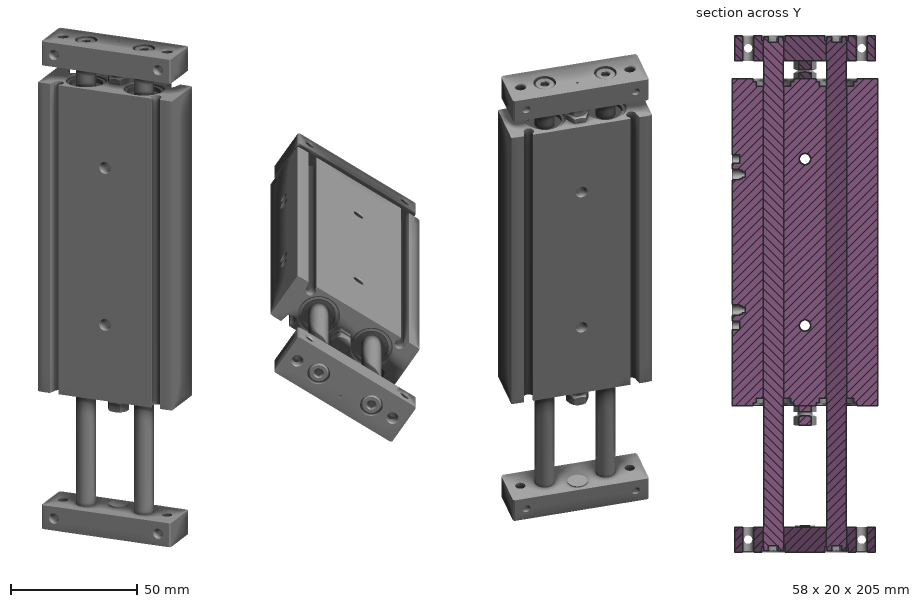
import cadquery as cq
import math


TOTAL_LENGTH = 205.0
PLATE_THICKNESS = 10.0
TOP_GAP = 7.0
BOTTOM_GAP = 48.0
HOUSING_BOTTOM = PLATE_THICKNESS + BOTTOM_GAP
HOUSING_TOP = TOTAL_LENGTH - PLATE_THICKNESS - TOP_GAP
HOUSING_LENGTH = HOUSING_TOP - HOUSING_BOTTOM
HOUSING_MIDDLE = (HOUSING_BOTTOM + HOUSING_TOP) / 2

HOUSING_WIDTH = 58.0
HOUSING_DEPTH = 20.0
EDGE_STRIP_WIDTH = 2.5
EDGE_STRIP_DROP = 0.27
SLOT_INNER_X = 20.0
SLOT_OUTER_X = 23.8
SLOT_BORE_X = 21.1
SLOT_BORE_RADIUS = 2.0
SLOT_BORE_DEPTH = 2.7

MOUNT_HOLE_OFFSET = 33.0
MOUNT_HOLE_DIAMETER = 4.3
MOUNT_RIM_DIAMETER = 5.0
PORT_OFFSET = 26.9
PORT_RIM_DIAMETER = 5.0
PORT_DIAMETER = 4.0
PORT_DEPTH = 3.0
PORT_SEAT_DIAMETER = 3.3
PORT_SEAT_DEPTH = 4.0
PORT_PASSAGE_DIAMETER = 2.0
PORT_PASSAGE_DEPTH = 5.1
SIDE_HOLE_OFFSET = MOUNT_HOLE_OFFSET
SIDE_HOLE_RIM_DIAMETER = 4.0
SIDE_HOLE_DIAMETER = 3.3
SIDE_HOLE_DEPTH = 3.0

ROD_DIAMETER = 8.0
ROD_X = 12.5
SEAT_RIM_DIAMETER = 17.0
SEAT_DIAMETER = 16.0
SEAT_DEPTH = 1.2
SEAL_DIAMETER = 13.5
SEAL_DEPTH = 1.8
ROD_END_DIAMETER = 7.0
ROD_SOCKET_FLATS = 3.3
ROD_SOCKET_RIM_DIAMETER = 4.0
ROD_SOCKET_DEPTH = 2.0
ROD_END_RECESS = 0.5

PLATE_WIDTH = 56.0
PLATE_DEPTH = 18.0
PLATE_CHAMFER = 0.6
PLATE_HOLE_X = 22.5
PLATE_END_HOLE_DIAMETER = 4.0
PLATE_END_RIM_DIAMETER = 5.0
PLATE_CROSS_HOLE_DIAMETER = 3.3
PLATE_CROSS_RIM_DIAMETER = 4.3
ROD_COUNTERBORE_DIAMETER = 9.0
ROD_COUNTERBORE_DEPTH = 2.0
VENT_DIAMETER = 1.0
VENT_DEPTH = 4.0

STOPPER_Y = 3.5
STOPPER_FLATS = 8.0
STOPPER_NECK_DIAMETER = 6.0
STOPPER_FACE_DIAMETER = 7.0
STOPPER_FACE_CHAMFER = 0.6
STOPPER_TIP_DIAMETER = STOPPER_FLATS
STOPPER_TIP_CHAMFER = 0.5
TOP_NUT_HEIGHT = 2.7
TOP_NECK_LENGTH = 0.6
TOP_HEAD_HEIGHT = TOP_GAP - TOP_NUT_HEIGHT - TOP_NECK_LENGTH
BOTTOM_NUT_HEIGHT = 2.5
BOTTOM_NECK_LENGTH = 1.2
BOTTOM_HEAD_HEIGHT = 4.0
BUMPER_DIAMETER = 8.0
BUMPER_HEIGHT = 0.6


def cylinder_z(diameter, x, y, bottom, height):
    """Upright cylinder standing on the level `bottom`."""
    return cq.Workplane("XY", origin=(x, y, bottom)).circle(diameter / 2).extrude(height)


def drill(diameter, rim_diameter, start, direction, depth):
    """Hole tool from the point `start`, with a 45 degree countersink at its mouth."""
    face = cq.Workplane(cq.Plane(start, normal=direction))
    shaft = face.circle(diameter / 2).extrude(depth)
    countersink = (
        face.circle(rim_diameter / 2)
        .workplane(offset=(rim_diameter - diameter) / 2)
        .circle(diameter / 2)
        .loft()
    )
    return shaft.union(countersink)


def mirror_end(body):
    """Copy of a body turned over about the middle plane of the housing."""
    return body.mirror("XY", (0, 0, HOUSING_MIDDLE))



def housing_block():
    """Solid block with shallow arcs along its four long edges."""
    half_width = HOUSING_WIDTH / 2
    half_depth = HOUSING_DEPTH / 2
    strip_x = half_width - EDGE_STRIP_WIDTH
    middle_x = half_width - EDGE_STRIP_WIDTH / 2
    side_y = half_depth - EDGE_STRIP_DROP
    middle_y = half_depth - EDGE_STRIP_DROP / 4
    return (
        cq.Workplane("XY", origin=(0, 0, HOUSING_BOTTOM))
        .moveTo(-strip_x, -half_depth)
        .lineTo(strip_x, -half_depth)
        .threePointArc((middle_x, -middle_y), (half_width, -side_y))
        .lineTo(half_width, side_y)
        .threePointArc((middle_x, middle_y), (strip_x, half_depth))
        .lineTo(-strip_x, half_depth)
        .threePointArc((-middle_x, middle_y), (-half_width, side_y))
        .lineTo(-half_width, -side_y)
        .threePointArc((-middle_x, -middle_y), (-strip_x, -half_depth))
        .close()
        .extrude(HOUSING_LENGTH)
    )


def sensor_slot(side_x, side_y):
    """Round-bottomed slot, its outer mouth wall leaning outwards, in the corner given by the two signs."""
    surface_y = side_y * HOUSING_DEPTH / 2
    bore_y = side_y * (HOUSING_DEPTH / 2 - SLOT_BORE_DEPTH)
    mouth = (
        cq.Workplane("XY", origin=(0, 0, HOUSING_BOTTOM))
        .polyline([
            (side_x * SLOT_INNER_X, surface_y),
            (side_x * SLOT_OUTER_X, surface_y),
            (side_x * (SLOT_BORE_X + SLOT_BORE_RADIUS), bore_y),
            (side_x * SLOT_INNER_X, bore_y),
        ])
        .close()
        .extrude(HOUSING_LENGTH)
    )
    bore = cylinder_z(2 * SLOT_BORE_RADIUS, side_x * SLOT_BORE_X, bore_y, HOUSING_BOTTOM, HOUSING_LENGTH)
    return mouth.union(bore)


def rod_seat(x):
    """Recess with a countersunk rim and a smaller seal step around a rod, sunk into the top end face."""
    recess = drill(SEAT_DIAMETER, SEAT_RIM_DIAMETER, (x, 0, HOUSING_TOP), (0, 0, -1), SEAT_DEPTH)
    seal_bottom = HOUSING_TOP - SEAT_DEPTH - SEAL_DEPTH
    return recess.union(cylinder_z(SEAL_DIAMETER, x, 0, seal_bottom, SEAL_DEPTH))


def mount_hole(z):
    """Hole through the housing along Y, countersunk on both faces."""
    half_depth = HOUSING_DEPTH / 2
    front = drill(MOUNT_HOLE_DIAMETER, MOUNT_RIM_DIAMETER, (0, -half_depth, z), (0, 1, 0), half_depth)
    back = drill(MOUNT_HOLE_DIAMETER, MOUNT_RIM_DIAMETER, (0, half_depth, z), (0, -1, 0), half_depth)
    return front.union(back)


def side_holes(direction):
    """Stepped port and plain hole in the -X side, above (+1) or below (-1) the middle."""
    side = -HOUSING_WIDTH / 2
    inward = (1, 0, 0)
    port_start = (side, 0, HOUSING_MIDDLE + direction * PORT_OFFSET)
    hole_start = (side, 0, HOUSING_MIDDLE + direction * SIDE_HOLE_OFFSET)
    port = drill(PORT_DIAMETER, PORT_RIM_DIAMETER, port_start, inward, PORT_DEPTH)
    port_face = cq.Workplane(cq.Plane(port_start, normal=inward))
    seat = port_face.circle(PORT_SEAT_DIAMETER / 2).extrude(PORT_SEAT_DEPTH)
    passage = port_face.circle(PORT_PASSAGE_DIAMETER / 2).extrude(PORT_PASSAGE_DEPTH)
    hole = drill(SIDE_HOLE_DIAMETER, SIDE_HOLE_RIM_DIAMETER, hole_start, inward, SIDE_HOLE_DEPTH)
    return port.union(seat).union(passage).union(hole)


def make_housing():
    housing = housing_block()
    for side_x in (-1, 1):
        for side_y in (-1, 1):
            housing = housing.cut(sensor_slot(side_x, side_y))
        seat = rod_seat(side_x * ROD_X)
        housing = housing.cut(seat).cut(mirror_end(seat))
        housing = housing.cut(cylinder_z(ROD_DIAMETER, side_x * ROD_X, 0, HOUSING_BOTTOM, HOUSING_LENGTH))
    for direction in (-1, 1):
        hole_z = HOUSING_MIDDLE + direction * MOUNT_HOLE_OFFSET
        housing = housing.cut(mount_hole(hole_z))
        housing = housing.cut(side_holes(direction))
    return housing



def make_plate(inner_z, outward):
    """End plate whose inner face is at inner_z; outward is +1 for the top plate, -1 for the bottom."""
    outer_z = inner_z + outward * PLATE_THICKNESS
    plate = (
        cq.Workplane("XY", origin=(0, 0, inner_z))
        .rect(PLATE_WIDTH, PLATE_DEPTH)
        .extrude(outward * PLATE_THICKNESS)
        .edges("|Z")
        .chamfer(PLATE_CHAMFER)
    )
    inward = (0, 0, -outward)
    middle_z = (inner_z + outer_z) / 2
    front_y = -PLATE_DEPTH / 2
    for side_x in (-1, 1):
        rod_x = side_x * ROD_X
        hole_x = side_x * PLATE_HOLE_X
        end_start = (hole_x, 0, outer_z)
        cross_start = (hole_x, front_y, middle_z)
        end_hole = drill(PLATE_END_HOLE_DIAMETER, PLATE_END_RIM_DIAMETER, end_start, inward, PLATE_THICKNESS)
        cross_hole = drill(
            PLATE_CROSS_HOLE_DIAMETER, PLATE_CROSS_RIM_DIAMETER, cross_start, (0, 1, 0), PLATE_DEPTH
        )
        plate = (
            plate.cut(cylinder_z(ROD_DIAMETER, rod_x, 0, inner_z, outward * PLATE_THICKNESS))
            .cut(cylinder_z(ROD_COUNTERBORE_DIAMETER, rod_x, 0, outer_z, -outward * ROD_COUNTERBORE_DEPTH))
            .cut(end_hole)
            .cut(cross_hole)
        )
    return plate.cut(cylinder_z(VENT_DIAMETER, 0, STOPPER_Y, outer_z, -outward * VENT_DEPTH))



def make_rod(x):
    """Rod reaching into both plates, with chamfered ends and a hexagon socket in each end."""
    bottom = ROD_END_RECESS
    top = TOTAL_LENGTH - ROD_END_RECESS
    socket_corners = ROD_SOCKET_FLATS / math.cos(math.pi / 6)
    end_chamfer = (ROD_DIAMETER - ROD_END_DIAMETER) / 2
    rod = cylinder_z(ROD_DIAMETER, x, 0, bottom, top - bottom).faces("<Z or >Z").chamfer(end_chamfer)
    for end, inward in ((bottom, 1), (top, -1)):
        end_point = (x, 0, end)
        direction = (0, 0, inward)
        lead_depth = (ROD_SOCKET_RIM_DIAMETER - ROD_SOCKET_FLATS) / 2
        lead_in = drill(ROD_SOCKET_FLATS, ROD_SOCKET_RIM_DIAMETER, end_point, direction, lead_depth)
        socket = (
            cq.Workplane(cq.Plane(end_point, normal=direction))
            .polygon(6, socket_corners)
            .extrude(ROD_SOCKET_DEPTH)
        )
        rod = rod.cut(lead_in).cut(socket)
    return rod



def hexagon(bottom, height):
    """Sharp-edged hexagon with two corners in line with the X axis."""
    corners = STOPPER_FLATS / math.cos(math.pi / 6)
    return cq.Workplane("XY", origin=(0, STOPPER_Y, bottom)).polygon(6, corners).extrude(height)


def turn_corners(hexagon_body, end_z, inward, face_diameter, chamfer_height):
    """Turn the corners of a hexagon down to a round face at end_z; inward is the sign of the way in."""
    corner_radius = STOPPER_FLATS / math.cos(math.pi / 6) / 2
    face_radius = face_diameter / 2
    chamfer_z = end_z + inward * chamfer_height
    waste = (
        cq.Workplane("XZ", origin=(0, STOPPER_Y, 0))
        .polyline([(face_radius, end_z), (corner_radius, end_z), (corner_radius, chamfer_z)])
        .close()
        .revolve(360, (0, 0, 0), (0, 1, 0))
    )
    return hexagon_body.cut(waste)


def make_top_stopper():
    """Nut on the housing, neck and head; the head meets the top plate."""
    nut_top = HOUSING_TOP + TOP_NUT_HEIGHT
    head_bottom = nut_top + TOP_NECK_LENGTH
    nut = hexagon(HOUSING_TOP, TOP_NUT_HEIGHT)
    nut = turn_corners(nut, nut_top, -1, STOPPER_FACE_DIAMETER, STOPPER_FACE_CHAMFER)
    neck = cylinder_z(STOPPER_NECK_DIAMETER, 0, STOPPER_Y, HOUSING_TOP, TOP_GAP)
    head = hexagon(head_bottom, TOP_HEAD_HEIGHT)
    head = turn_corners(head, head_bottom, 1, STOPPER_FACE_DIAMETER, STOPPER_FACE_CHAMFER)
    return nut.union(neck).union(head)


def make_bottom_stopper():
    """Nut under the housing, neck and head; the head hangs free above the bumper."""
    nut_bottom = HOUSING_BOTTOM - BOTTOM_NUT_HEIGHT
    head_top = nut_bottom - BOTTOM_NECK_LENGTH
    head_bottom = head_top - BOTTOM_HEAD_HEIGHT
    nut = hexagon(nut_bottom, BOTTOM_NUT_HEIGHT)
    neck = cylinder_z(STOPPER_NECK_DIAMETER, 0, STOPPER_Y, head_bottom, HOUSING_BOTTOM - head_bottom)
    head = hexagon(head_bottom, BOTTOM_HEAD_HEIGHT)
    head = turn_corners(head, head_top, -1, STOPPER_FACE_DIAMETER, STOPPER_FACE_CHAMFER)
    head = turn_corners(head, head_bottom, 1, STOPPER_TIP_DIAMETER, STOPPER_TIP_CHAMFER)
    return nut.union(neck).union(head)



housing = make_housing()
top_plate = make_plate(TOTAL_LENGTH - PLATE_THICKNESS, 1)
bottom_plate = make_plate(PLATE_THICKNESS, -1)
rods = [make_rod(side_x * ROD_X) for side_x in (-1, 1)]
top_stopper = make_top_stopper()
bottom_stopper = make_bottom_stopper()
bumper = cylinder_z(BUMPER_DIAMETER, 0, STOPPER_Y, PLATE_THICKNESS, BUMPER_HEIGHT)

result = cq.Compound.makeCompound([
    housing.val(),
    top_plate.val(),
    bottom_plate.val(),
    *[rod.val() for rod in rods],
    top_stopper.val(),
    bottom_stopper.val(),
    bumper.val(),
])